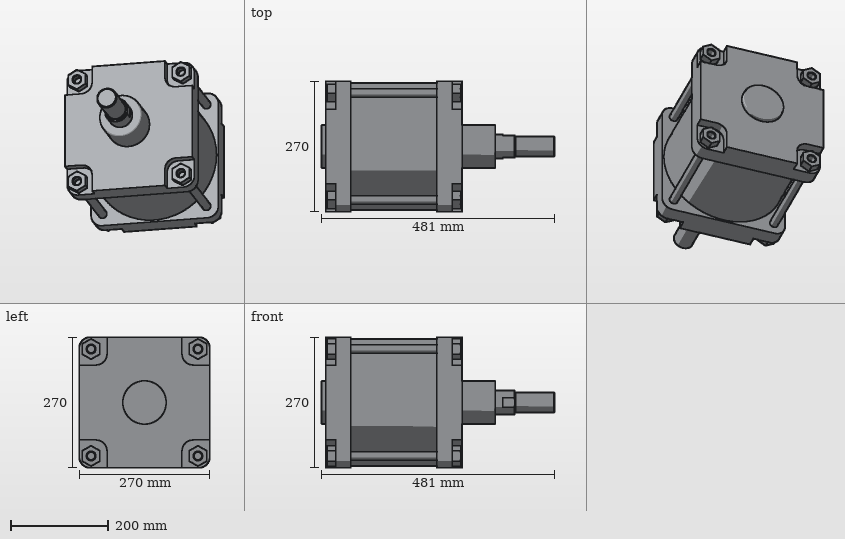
import cadquery as cq
import math


OVERALL_LENGTH = 481.0
REAR_BOSS_LENGTH = 9.0
HEAD_THICKNESS = 52.0
BARREL_LENGTH = 177.0
FRONT_BOSS_LENGTH = 69.0
REAR_HEAD_INNER_X = REAR_BOSS_LENGTH + HEAD_THICKNESS
FRONT_HEAD_INNER_X = REAR_HEAD_INNER_X + BARREL_LENGTH
FRONT_HEAD_OUTER_X = FRONT_HEAD_INNER_X + HEAD_THICKNESS
FRONT_BOSS_END_X = FRONT_HEAD_OUTER_X + FRONT_BOSS_LENGTH

HEAD_WIDTH = 270.0
HEAD_CORNER_RADIUS = 23.0
BOSS_DIAMETER = 89.5
BOSS_FILLET = 3.0
POCKET_SIZE = 57.5
POCKET_DEPTH = 20.0
POCKET_CORNER_RADIUS = 23.0

BARREL_DIAMETER = 262.5

TIE_ROD_DIAMETER = 18.0
TIE_ROD_OFFSET = 110.0
NUT_ACROSS_FLATS = 36.5
NUT_HEIGHT = 17.5
NUT_HOLE_DIAMETER = 16.5
NUT_HOLE_CHAMFER = 1.5
NUT_ACROSS_CORNERS = NUT_ACROSS_FLATS / math.cos(math.pi / 6)

ROD_DIAMETER = 50.0
ROD_SHOULDER_X = 398.5
ROD_SHOULDER_CHAMFER = 1.0
FLATS_LENGTH = 24.0
FLATS_WIDTH = 46.0
NECK_LENGTH = 2.5
NECK_DIAMETER = 40.5
STUD_DIAMETER = 42.0
STUD_CHAMFER = 2.0

CORNER_SIGNS = [(-1, -1), (-1, 1), (1, -1), (1, 1)]


def cylinder(start_x, length, diameter):
    """Solid cylinder along X on the main axis."""
    return cq.Workplane("YZ", origin=(start_x, 0, 0)).circle(diameter / 2).extrude(length)


def corner_pocket(y_sign, z_sign):
    """Cutter for one corner recess, open to both sides and to X = 0."""
    half_width = HEAD_WIDTH / 2
    cutter = (
        cq.Workplane("YZ")
        .center(y_sign * half_width, z_sign * half_width)
        .rect(2 * POCKET_SIZE, 2 * POCKET_SIZE)
        .extrude(POCKET_DEPTH)
    )
    return cutter.edges("|X").fillet(POCKET_CORNER_RADIUS)


def make_head(boss_length):
    """Square head with its outer face at X = 0 and its boss on the -X side."""
    head = cq.Workplane("YZ").rect(HEAD_WIDTH, HEAD_WIDTH).extrude(HEAD_THICKNESS)
    head = head.edges("|X").fillet(HEAD_CORNER_RADIUS)
    for y_sign, z_sign in CORNER_SIGNS:
        head = head.cut(corner_pocket(y_sign, z_sign))
    tie_rod_centers = [(y * TIE_ROD_OFFSET, z * TIE_ROD_OFFSET) for y, z in CORNER_SIGNS]
    tie_rod_holes = (
        cq.Workplane("YZ").pushPoints(tie_rod_centers).circle(TIE_ROD_DIAMETER / 2).extrude(HEAD_THICKNESS)
    )
    boss = cylinder(-boss_length, boss_length, BOSS_DIAMETER).faces("<X").fillet(BOSS_FILLET)
    return head.cut(tie_rod_holes).union(boss)


def make_rear_head():
    return make_head(REAR_BOSS_LENGTH).translate((REAR_BOSS_LENGTH, 0, 0))


def make_front_head():
    """Head turned to face +X, bored right through for the piston rod."""
    head = make_head(FRONT_BOSS_LENGTH).mirror("YZ").translate((FRONT_HEAD_OUTER_X, 0, 0))
    bore_length = FRONT_BOSS_END_X - FRONT_HEAD_INNER_X
    return head.cut(cylinder(FRONT_HEAD_INNER_X, bore_length, ROD_DIAMETER))


def make_barrel():
    return cylinder(REAR_HEAD_INNER_X, BARREL_LENGTH, BARREL_DIAMETER)


def make_nut():
    """Hexagonal end nut with two corners along Z and a hole chamfered at X = 0."""
    nut = (
        cq.Workplane("YZ")
        .transformed(rotate=(0, 0, 90))
        .polygon(6, NUT_ACROSS_CORNERS)
        .extrude(NUT_HEIGHT)
        .cut(cylinder(0, NUT_HEIGHT, NUT_HOLE_DIAMETER))
    )
    return nut.faces("<X").edges("%CIRCLE").chamfer(NUT_HOLE_CHAMFER)


def make_tie_rod(y_sign, z_sign):
    """Rod through both heads, in one piece with a nut in the pocket at each end."""
    start_x = REAR_BOSS_LENGTH + POCKET_DEPTH
    end_x = FRONT_HEAD_OUTER_X - POCKET_DEPTH
    rear_nut = make_nut().translate((start_x - NUT_HEIGHT, 0, 0))
    front_nut = make_nut().mirror("YZ").translate((end_x + NUT_HEIGHT, 0, 0))
    tie_rod = cylinder(start_x, end_x - start_x, TIE_ROD_DIAMETER).union(rear_nut).union(front_nut)
    return tie_rod.translate((0, y_sign * TIE_ROD_OFFSET, z_sign * TIE_ROD_OFFSET))


def make_piston_rod():
    """Rod from the barrel end to a chamfered stud, with wrench flats on its -Y and +Y sides."""
    shaft_length = ROD_SHOULDER_X - FRONT_HEAD_INNER_X
    shaft = cylinder(FRONT_HEAD_INNER_X, shaft_length, ROD_DIAMETER)
    shaft = shaft.faces(">X").chamfer(ROD_SHOULDER_CHAMFER)
    flats_start_x = ROD_SHOULDER_X - FLATS_LENGTH
    flats_section = cq.Workplane("YZ", origin=(flats_start_x, 0, 0))
    flats_stock = flats_section.rect(ROD_DIAMETER, ROD_DIAMETER).extrude(FLATS_LENGTH)
    flats_core = flats_section.rect(FLATS_WIDTH, ROD_DIAMETER).extrude(FLATS_LENGTH)
    shaft = shaft.cut(flats_stock.cut(flats_core))

    neck = cylinder(ROD_SHOULDER_X, NECK_LENGTH, NECK_DIAMETER)
    stud_start_x = ROD_SHOULDER_X + NECK_LENGTH
    stud = cylinder(stud_start_x, OVERALL_LENGTH - stud_start_x, STUD_DIAMETER)
    stud = stud.faces(">X").chamfer(STUD_CHAMFER)
    return shaft.union(neck).union(stud)


rear_head = make_rear_head()
front_head = make_front_head()
barrel = make_barrel()
piston_rod = make_piston_rod()
tie_rods = [make_tie_rod(y_sign, z_sign) for y_sign, z_sign in CORNER_SIGNS]

result = cq.Compound.makeCompound([
    rear_head.val(),
    front_head.val(),
    barrel.val(),
    piston_rod.val(),
    *[tie_rod.val() for tie_rod in tie_rods],
])